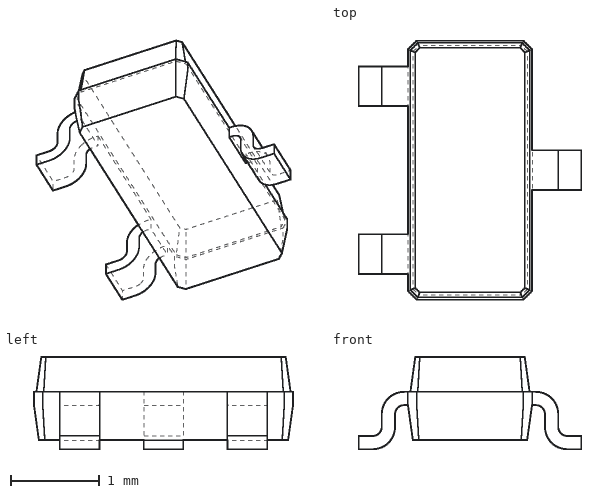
import cadquery as cq
import math

body_width = 1.40
body_length = 2.92
corner_chamfer = 0.10
shell_height = 0.3915
draft_angle = 8.0
upper_step = 0.0275
standoff = 0.105

lead_span = 2.51
lead_thickness = 0.152
lead_width = 0.45
lead_pitch = 1.89
lead_outer_face = 0.995
bend_inner_radius = 0.10
lead_embed = 0.10

bend_outer_radius = bend_inner_radius + lead_thickness
band_height = lead_thickness
band_bottom = standoff + shell_height
band_top = band_bottom + band_height


def body_section(inset, z):
    """Chamfered rectangle, inset evenly from the band outline, at height z."""
    chamfer = corner_chamfer - inset * (2 - math.sqrt(2))
    half_x = body_width / 2 - inset
    half_y = body_length / 2 - inset
    return (
        cq.Workplane("XY", origin=(0, 0, z))
        .moveTo(half_x, half_y - chamfer)
        .lineTo(half_x - chamfer, half_y)
        .lineTo(chamfer - half_x, half_y)
        .lineTo(-half_x, half_y - chamfer)
        .lineTo(-half_x, chamfer - half_y)
        .lineTo(chamfer - half_x, -half_y)
        .lineTo(half_x - chamfer, -half_y)
        .lineTo(half_x, chamfer - half_y)
        .close()
    )


def make_body():
    """Straight parting band between two halves that taper away from it."""
    band = body_section(0, band_bottom).extrude(band_height)
    upper = body_section(upper_step, band_top).extrude(shell_height, taper=draft_angle)
    lower = body_section(0, band_bottom).extrude(-shell_height, taper=draft_angle)
    return band.union(upper).union(lower)


def make_lead(y_center):
    """Gull-wing lead on the +X side, resting on the seating plane."""
    tip = lead_span / 2
    root = body_width / 2 - lead_embed
    inner_face = lead_outer_face - lead_thickness
    shoulder_x = lead_outer_face - bend_outer_radius
    shoulder_z = band_top - bend_outer_radius
    foot_x = lead_outer_face + bend_inner_radius
    foot_z = bend_outer_radius
    outer_diagonal = bend_outer_radius * math.sqrt(0.5)
    inner_diagonal = bend_inner_radius * math.sqrt(0.5)
    return (
        cq.Workplane("XZ", origin=(0, y_center + lead_width / 2, 0))
        .moveTo(root, band_top)
        .lineTo(shoulder_x, band_top)
        .threePointArc(
            (shoulder_x + outer_diagonal, shoulder_z + outer_diagonal),
            (lead_outer_face, shoulder_z),
        )
        .lineTo(lead_outer_face, foot_z)
        .threePointArc(
            (foot_x - inner_diagonal, foot_z - inner_diagonal),
            (foot_x, lead_thickness),
        )
        .lineTo(tip, lead_thickness)
        .lineTo(tip, 0)
        .lineTo(foot_x, 0)
        .threePointArc(
            (foot_x - outer_diagonal, foot_z - outer_diagonal),
            (inner_face, foot_z),
        )
        .lineTo(inner_face, shoulder_z)
        .threePointArc(
            (shoulder_x + inner_diagonal, shoulder_z + inner_diagonal),
            (shoulder_x, band_bottom),
        )
        .lineTo(root, band_bottom)
        .close()
        .extrude(lead_width)
    )


result = make_body().union(make_lead(0))
for y_center in (-lead_pitch / 2, lead_pitch / 2):
    result = result.union(make_lead(y_center).mirror("YZ"))